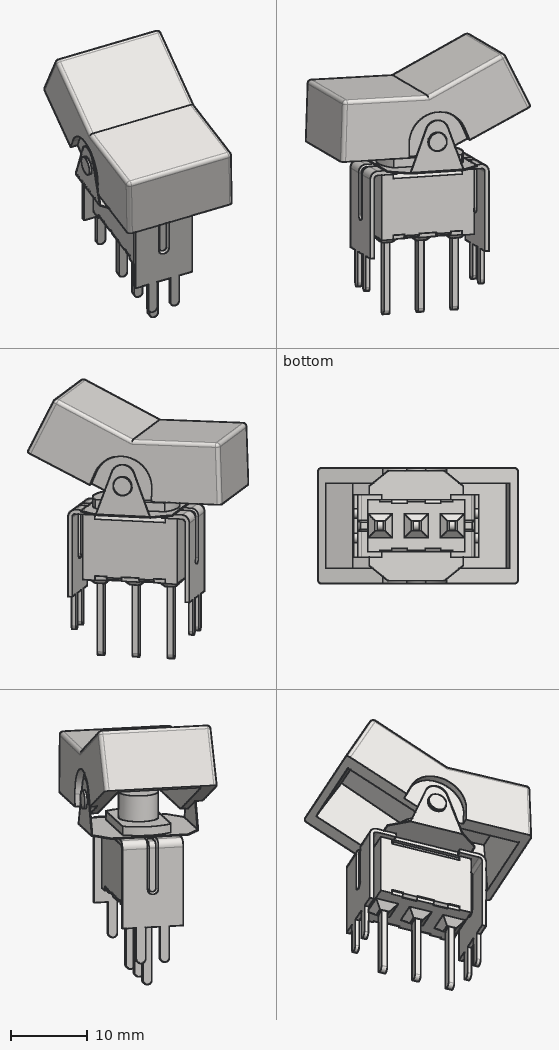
import cadquery as cq
import math


rocker_width = 15.1
rocker_tilt = 12.5
pivot_height = 13.45
wing_end_bottom = (13.4, 1.1)
wing_end_top = (11.35, 9.03)
valley_height = 6.4
keel_depth = 1.9
rocker_fillet = 0.53
end_wall = 1.1
side_wall = 2.0
recess_depth = 1.0
recess_radius = 4.0
recess_splay = 10.5

pin_diameter = 2.45
pin_overhang = 0.3
plate_thickness = 0.15
plate_length = 12.3
plate_end_width = 10.33
ear_span = 14.35
ear_base_width = 7.38
ear_tip_diameter = 3.2
ear_top = 16.27

bushing_diameter = 5.2
bushing_top = 14.13
washer_diameter = 11.4
washer_width = 6.5
washer_thickness = 1.15

body_length = 12.7
body_width = 6.75
crown_length = 9.5
crown_chamfer = 0.7
crown_chamfer_depth = 0.42
foot_notch_height = 0.55
foot_notch_depth = 0.2
foot_bevel_length = 2.0
foot_bevel_offset = 2.18
foot_bevel_depth = 0.42
foot_bevel_bottom = 0.1
foot_bevel_top = 0.42

bracket_span = 16.35
bracket_width = 8.15
bracket_top = 9.38
bracket_thickness = 0.55
bend_radius = 1.02
bracket_waist_length = 9.0
skirt_bottom = -2.2
prong_bottom = -7.0
prong_width = 1.23
prong_spacing = 3.2

groove_width = 1.48
groove_floor_width = 0.9
groove_depth = 0.28
groove_bottom = 2.18
groove_hidden_length = 0.2

terminal_pitch = 4.7
terminal_length = 10.58
terminal_thickness = 0.8
terminal_width = 1.2
cone_height = 0.9
cone_top_width = 3.13
cone_bottom_width = 1.35

body_top = bracket_top - bracket_thickness
plate_top = bracket_top + plate_thickness


def box(length, width, bottom, top):
    """Block centred on the Z axis between two heights."""
    return cq.Workplane("XY").workplane(offset=bottom).rect(length, width).extrude(top - bottom)


def cylinder(diameter, bottom, top):
    """Upright cylinder on the Z axis between two heights."""
    return cq.Workplane("XY").workplane(offset=bottom).circle(diameter / 2).extrude(top - bottom)


def extrude_along_y(outline, y_start, y_end):
    """Extrude an XZ outline between two Y positions."""
    return outline.extrude(y_start - y_end).translate((0, y_start, 0))


def both_sides(shape, plane):
    """Add the mirror image of a shape."""
    return shape.union(shape.mirror(plane))


def blade(thickness, width, bottom, top):
    """Flat strip in the YZ plane with a fully rounded lower end."""
    radius = width / 2
    outline = (
        cq.Workplane("YZ")
        .moveTo(-radius, top)
        .lineTo(-radius, bottom + radius)
        .threePointArc((0, bottom), (radius, bottom + radius))
        .lineTo(radius, top)
        .close()
    )
    return outline.extrude(thickness / 2, both=True)


def make_rocker():
    half_width = rocker_width / 2
    (bottom_x, bottom_z), (top_x, top_z) = wing_end_bottom, wing_end_top
    outline = cq.Workplane("XZ").polyline(
        [
            (0, -keel_depth),
            (bottom_x, bottom_z),
            (top_x, top_z),
            (0, valley_height),
            (-top_x, top_z),
            (-bottom_x, bottom_z),
        ]
    ).close()
    rocker = extrude_along_y(outline, -half_width, half_width)

    above_underside = cq.selectors.BoxSelector(
        (-2 * bottom_x, -rocker_width, bottom_z + rocker_fillet),
        (2 * bottom_x, rocker_width, 2 * top_z),
    )
    valley_crease = cq.selectors.NearestToPointSelector((0, 0, valley_height))
    rocker = rocker.edges(above_underside - valley_crease).fillet(rocker_fillet)

    open_bottom = -2 * keel_depth
    cavity_x = bottom_x - end_wall
    cavity_outline = cq.Workplane("XZ").polyline(
        [
            (-cavity_x, open_bottom),
            (cavity_x, open_bottom),
            (cavity_x, bottom_z),
            (top_x - end_wall, top_z - end_wall),
            (0, valley_height - end_wall),
            (end_wall - top_x, top_z - end_wall),
            (-cavity_x, bottom_z),
        ]
    ).close()
    cavity_half_width = half_width - side_wall
    rocker = rocker.cut(extrude_along_y(cavity_outline, -cavity_half_width, cavity_half_width))

    splay = math.radians(recess_splay)
    tangent_x = recess_radius * math.cos(splay)
    tangent_z = recess_radius * math.sin(splay)
    recess_foot_x = tangent_x + (tangent_z - open_bottom) * math.tan(splay)
    recess_outline = (
        cq.Workplane("XZ")
        .moveTo(-recess_foot_x, open_bottom)
        .lineTo(-tangent_x, tangent_z)
        .threePointArc((0, recess_radius), (tangent_x, tangent_z))
        .lineTo(recess_foot_x, open_bottom)
        .close()
    )
    recess = extrude_along_y(recess_outline, -half_width, recess_depth - half_width)
    rocker = rocker.cut(both_sides(recess, "XZ"))
    return rocker.rotate((0, 0, 0), (0, 1, 0), rocker_tilt).translate((0, 0, pivot_height))


def make_pivot_pins():
    outer_y = ear_span / 2 + pin_overhang
    inner_y = rocker_width / 2 - side_wall
    outline = cq.Workplane("XZ").center(0, pivot_height).circle(pin_diameter / 2)
    return both_sides(extrude_along_y(outline, -outer_y, -inner_y), "XZ")


def make_saddle():
    half_length, half_end = plate_length / 2, plate_end_width / 2
    half_ear, half_span = ear_base_width / 2, ear_span / 2
    quarter = [(half_length, half_end), (half_ear, half_span)]
    corners = quarter + [(-x, y) for x, y in reversed(quarter)]
    corners += [(-x, -y) for x, y in corners]
    plate = cq.Workplane("XY").polyline(corners).close().extrude(plate_thickness)
    plate = plate.translate((0, 0, bracket_top))

    tip_radius = ear_tip_diameter / 2
    tip_rise = ear_top - tip_radius - bracket_top
    corner_distance = math.hypot(half_ear, tip_rise)
    tangent_angle = math.acos(tip_radius / corner_distance) - math.atan2(tip_rise, half_ear)
    tangent_x = tip_radius * math.cos(tangent_angle)
    tangent_z = ear_top - tip_radius + tip_radius * math.sin(tangent_angle)
    ear_outline = (
        cq.Workplane("XZ")
        .moveTo(-half_ear, bracket_top)
        .lineTo(-tangent_x, tangent_z)
        .threePointArc((0, ear_top), (tangent_x, tangent_z))
        .lineTo(half_ear, bracket_top)
        .close()
    )
    ear = extrude_along_y(ear_outline, -half_span, plate_thickness - half_span)
    return plate.union(both_sides(ear, "XZ"))


def make_bushing():
    bushing = cylinder(bushing_diameter, body_top, bushing_top)
    washer_top = plate_top + washer_thickness
    washer = cylinder(washer_diameter, plate_top, washer_top)
    washer = washer.intersect(box(washer_diameter, washer_width, plate_top, washer_top))
    return bushing.union(washer)


def make_body():
    body = box(body_length, body_width, 0, body_top)
    half_width = body_width / 2
    crown_cut = (
        cq.Workplane("YZ")
        .polyline(
            [
                (-half_width, body_top),
                (-half_width, body_top - crown_chamfer),
                (crown_chamfer_depth - half_width, body_top),
            ]
        )
        .close()
        .extrude(crown_length / 2, both=True)
    )
    foot_notch = box(crown_length, 2 * foot_notch_depth, 0, foot_notch_height)
    foot_notch = foot_notch.translate((0, -half_width, 0))
    bridge = box(foot_bevel_length, body_width, 0, foot_notch_height)
    bevel = (
        cq.Workplane("YZ")
        .polyline(
            [
                (-half_width, 0),
                (-half_width, foot_bevel_top),
                (foot_bevel_depth - half_width, foot_bevel_bottom),
                (foot_bevel_depth - half_width, 0),
            ]
        )
        .close()
        .extrude(foot_bevel_length / 2, both=True)
    )
    for offset in (-foot_bevel_offset, foot_bevel_offset):
        foot_notch = foot_notch.cut(bridge.translate((offset, -half_width, 0)))
        foot_notch = foot_notch.union(bevel.translate((offset, 0, 0)))
    return body.cut(both_sides(crown_cut.union(foot_notch), "XZ"))


def press_groove(surface_x, surface_z, radius, start_x):
    """Tapered ridge sunk from a bent surface, from the top sheet round the bend to its rounded end."""
    end_radius, floor_radius = groove_width / 2, groove_floor_width / 2
    end_z = groove_bottom + end_radius
    bend_x, bend_z = surface_x + radius, surface_z - radius
    slant = radius * math.sqrt(0.5)
    path = (
        cq.Workplane("XZ")
        .moveTo(start_x, surface_z)
        .lineTo(bend_x, surface_z)
        .threePointArc((bend_x - slant, bend_z + slant), (surface_x, bend_z))
        .lineTo(surface_x, end_z)
    )
    section = cq.Workplane("YZ", origin=(start_x, 0, surface_z)).polyline(
        [
            (-end_radius, 0),
            (end_radius, 0),
            (floor_radius, -groove_depth),
            (-floor_radius, -groove_depth),
        ]
    ).close()
    end_centre = cq.Vector(surface_x, 0, end_z)
    inward = cq.Vector(1, 0, 0)
    rounded_end = cq.Workplane(
        cq.Solid.makeCone(end_radius, floor_radius, groove_depth, end_centre, inward)
    )
    return section.sweep(path).union(rounded_end)


def make_bracket():
    half_span, half_width = bracket_span / 2, bracket_width / 2
    shell = box(bracket_span, bracket_width, skirt_bottom, bracket_top)
    shell = shell.edges("|Y and >Z").fillet(bend_radius)
    hollow = box(bracket_span - 2 * bracket_thickness, bracket_width, skirt_bottom, body_top)
    hollow = hollow.edges("|Y and >Z").fillet(bend_radius - bracket_thickness)
    bracket = shell.cut(hollow)

    waist_cut = box(bracket_waist_length, bracket_width - body_width, body_top, bracket_top)
    for side in (-1, 1):
        bracket = bracket.cut(waist_cut.translate((0, side * half_width, 0)))

    prong = blade(bracket_thickness, prong_width, prong_bottom, skirt_bottom)
    leg_x = half_span - bracket_thickness / 2
    for side_x in (-1, 1):
        for side_y in (-1, 1):
            bracket = bracket.union(prong.translate((side_x * leg_x, side_y * prong_spacing / 2, 0)))

    groove_start = groove_hidden_length - plate_length / 2
    groove = press_groove(-half_span, bracket_top, bend_radius, groove_start)
    rib = press_groove(
        bracket_thickness - half_span, body_top, bend_radius - bracket_thickness, groove_start
    )
    return bracket.union(both_sides(rib, "YZ")).cut(both_sides(groove, "YZ"))


def make_terminal():
    pin = blade(terminal_thickness, terminal_width, -terminal_length, 0)
    cone = (
        cq.Workplane("XY")
        .rect(cone_top_width, cone_top_width)
        .workplane(offset=-cone_height)
        .rect(cone_bottom_width, cone_bottom_width)
        .loft()
    )
    return pin.union(cone)


result = make_body().union(make_bracket()).union(make_saddle()).union(make_bushing())
terminal = make_terminal()
for position in (-1, 0, 1):
    result = result.union(terminal.translate((position * terminal_pitch, 0, 0)))
result = result.union(make_rocker()).union(make_pivot_pins())